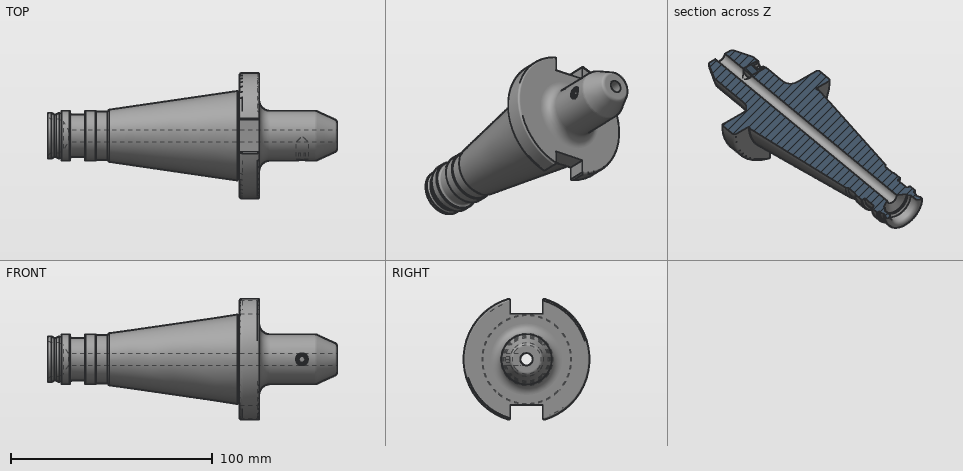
import cadquery as cq
import math

total_length = 143.4
gauge_x = 93.8
flange_x = 95.0
flange_width = 9.9
flange_end_x = flange_x + flange_width
nose_fillet_radius = 5.2
nose_cone_x = 132.8

gauge_radius = 22.2
undercut_radius = 21.8
taper_x = 30.4
taper_slope = 7 / 48
taper_end_radius = gauge_radius - taper_slope * (gauge_x - taper_x)

end_land_radius = 11.5
end_land_x = 1.9
end_edge_fillet = 0.6
end_groove_radius = 10.6
end_groove_x = 3.2
end_groove_end_x = 4.2
second_land_radius = 11.5
second_land_x = 5.7
relief_radius = 11.2
collar_radius = 12.5
collar_chamfer = 0.5
first_collar_x = 6.6
first_collar_end_x = 11.2
pull_groove_radius = 10.6
pull_groove_fillet = 0.9
second_collar_x = 18.4
second_collar_end_x = 24.1
neck_radius = 12.0
neck_end_x = 29.5

flange_radius = 31.3
flange_small_side_fillet = 1.5
flange_nose_side_fillet = 1.0
slot_width = 16.0
slot_floor = 22.7
slot_flare_z = 29.3

nose_radius = 12.5
nose_end_radius = 7.6
nose_shoulder_fillet = 1.9
nose_end_fillet = 1.9

bore_radius = 3.0
thread_radius = 7.2
counterbore_radius = 8.3
mouth_fillet = 2.2
counterbore_depth = 5.6
thread_chamfer = counterbore_radius - thread_radius
thread_depth = 7.6
drill_tip_half_angle = 59
drill_tip_depth = (thread_radius - bore_radius) / math.tan(math.radians(drill_tip_half_angle))

screw_x = 125.9
screw_radius = 3.0
screw_top = 12.0
screw_chamfer = 0.6
hex_across_flats = 3.0
hex_depth = 3.6
hex_countersink_radius = 2.2
hex_countersink_depth = 0.5


def revolve_about_x(outline):
    """Turn a closed half outline, drawn as (x, radius), about the X axis."""
    return outline.close().revolve(360, (0, 0, 0), (1, 0, 0))


def make_shank():
    """Grooved small end, steep taper and undercut, up to the flange."""
    outline = (
        cq.Workplane("XY")
        .moveTo(0, 0)
        .lineTo(0, end_land_radius - end_edge_fillet)
        .radiusArc((end_edge_fillet, end_land_radius), end_edge_fillet)
        .lineTo(end_land_x, end_land_radius)
        .lineTo(end_groove_x, end_groove_radius)
        .lineTo(end_groove_end_x, end_groove_radius)
        .lineTo(second_land_x, second_land_radius)
        .lineTo(second_land_x, relief_radius)
        .lineTo(first_collar_x, relief_radius)
        .lineTo(first_collar_x, collar_radius - collar_chamfer)
        .lineTo(first_collar_x + collar_chamfer, collar_radius)
        .lineTo(first_collar_end_x - collar_chamfer, collar_radius)
        .lineTo(first_collar_end_x, collar_radius - collar_chamfer)
        .lineTo(first_collar_end_x, pull_groove_radius + pull_groove_fillet)
        .radiusArc((first_collar_end_x + pull_groove_fillet, pull_groove_radius), -pull_groove_fillet)
        .lineTo(second_collar_x, pull_groove_radius)
        .lineTo(second_collar_x, collar_radius - collar_chamfer)
        .lineTo(second_collar_x + collar_chamfer, collar_radius)
        .lineTo(second_collar_end_x - collar_chamfer, collar_radius)
        .lineTo(second_collar_end_x, neck_radius)
        .lineTo(neck_end_x, neck_radius)
        .lineTo(taper_x, taper_end_radius)
        .lineTo(gauge_x, gauge_radius)
        .lineTo(gauge_x + gauge_radius - undercut_radius, undercut_radius)
        .lineTo(flange_x, undercut_radius)
        .lineTo(flange_x, 0)
    )
    return revolve_about_x(outline)


def make_drive_slot():
    """Cutter for the slot on the +Z side, with 45 degree flares at its mouth."""
    half_width = slot_width / 2
    flare = flange_radius - slot_flare_z
    return (
        cq.Workplane("YZ", origin=(flange_x, 0, 0))
        .moveTo(-half_width, slot_floor)
        .lineTo(half_width, slot_floor)
        .lineTo(half_width, slot_flare_z)
        .lineTo(half_width + flare, flange_radius)
        .lineTo(-half_width - flare, flange_radius)
        .lineTo(-half_width, slot_flare_z)
        .close()
        .extrude(flange_width)
    )


def make_flange():
    """Disk with rounded rims and two opposite drive slots."""
    flange = cq.Workplane("YZ", origin=(flange_x, 0, 0)).circle(flange_radius).extrude(flange_width)
    flange = flange.faces("<X").edges().fillet(flange_small_side_fillet)
    flange = flange.faces(">X").edges().fillet(flange_nose_side_fillet)
    slot = make_drive_slot()
    return flange.cut(slot).cut(slot.mirror("XY"))


def make_nose():
    """Clamping nose with a filleted root and a tapered, rounded end."""
    outline = (
        cq.Workplane("XY")
        .moveTo(flange_end_x, 0)
        .lineTo(flange_end_x, nose_radius + nose_fillet_radius)
        .radiusArc((flange_end_x + nose_fillet_radius, nose_radius), -nose_fillet_radius)
        .lineTo(nose_cone_x, nose_radius)
        .lineTo(total_length, nose_end_radius)
        .lineTo(total_length, 0)
    )
    nose = revolve_about_x(outline)
    shoulder = (nose_cone_x, 0, 0)
    nose = nose.faces(">X").edges().fillet(nose_end_fillet)
    return nose.edges("%CIRCLE").edges(cq.selectors.NearestToPointSelector(shoulder)).fillet(
        nose_shoulder_fillet
    )


def make_bore():
    """Cutter for the counterbored thread hole and the tool bore through to the nose end."""
    outline = (
        cq.Workplane("XY")
        .moveTo(0, 0)
        .lineTo(0, counterbore_radius + mouth_fillet)
        .radiusArc((mouth_fillet, counterbore_radius), -mouth_fillet)
        .lineTo(counterbore_depth, counterbore_radius)
        .lineTo(counterbore_depth + thread_chamfer, thread_radius)
        .lineTo(thread_depth, thread_radius)
        .lineTo(thread_depth + drill_tip_depth, bore_radius)
        .lineTo(total_length, bore_radius)
        .lineTo(total_length, 0)
    )
    return revolve_about_x(outline)


def make_screw_hole():
    """Radial hole from the -Y side of the nose into the bore."""
    return cq.Workplane("XZ", origin=(screw_x, 0, 0)).circle(screw_radius).extrude(nose_radius)


def make_screw():
    """Set screw with a hexagon socket in its outer face, reaching down to the bore."""
    screw = (
        cq.Workplane("XZ", origin=(screw_x, -bore_radius, 0))
        .circle(screw_radius)
        .extrude(screw_top - bore_radius)
        .faces("<Y").chamfer(screw_chamfer)
    )
    hexagon = (
        cq.Workplane("XZ", origin=(screw_x, hex_depth - screw_top, 0))
        .polygon(6, hex_across_flats / math.cos(math.pi / 6))
        .extrude(hex_depth)
    )
    countersink = cq.Workplane(
        cq.Solid.makeCone(
            hex_countersink_radius,
            hex_across_flats / 2,
            hex_countersink_depth,
            cq.Vector(screw_x, -screw_top, 0),
            cq.Vector(0, 1, 0),
        )
    )
    return screw.cut(hexagon).cut(countersink)


def make_holder():
    """Tool holder in one piece, bored along its axis and drilled for the clamping screw."""
    body = make_shank().union(make_flange()).union(make_nose())
    return body.cut(make_bore()).cut(make_screw_hole())


holder = make_holder()
clamping_screw = make_screw()
result = cq.Compound.makeCompound([holder.solids().val(), clamping_screw.solids().val()])